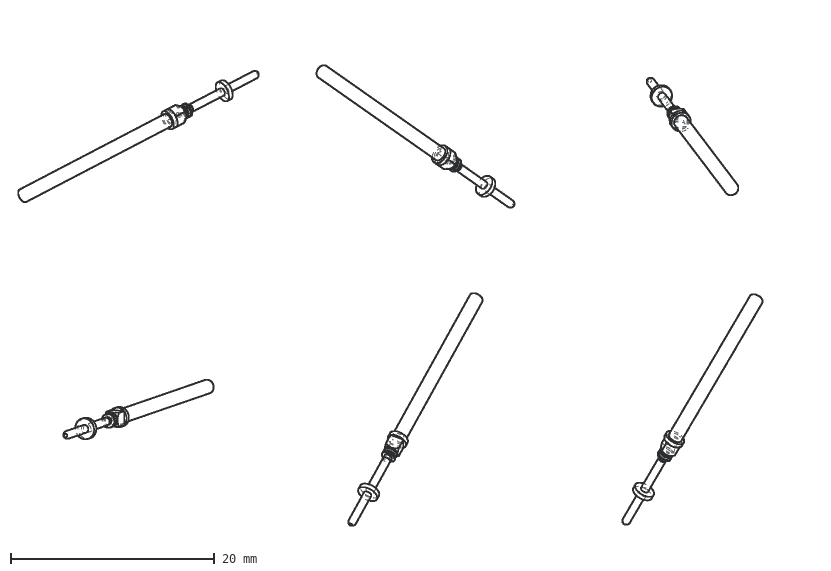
import cadquery as cq

LENGTH = 29.9

ROD_DIAMETER = 0.8
TIP_LENGTH = 0.4
TIP_FLAT_DIAMETER = 0.35
COLLAR_DIAMETER = 2.1
COLLAR_DEPTH = 4.0
COLLAR_THICKNESS = 0.48

NECK_DEPTH = 8.5
NECK_DIAMETER = 0.78

BARREL_DIAMETER = 1.4
BARREL_END_FILLET = 0.18

HEAD_DEPTH = 8.88
GROOVE_DEPTH = 9.05
GROOVE_WIDTH = 0.35
GROOVE_BOTTOM_DIAMETER = 1.2

FLANGE_DIAMETER = 1.97
FLANGE_DEPTH = 10.95
FLANGE_THICKNESS = 0.48
SQUARE_SIDE = BARREL_DIAMETER
CONE_DEPTH = 9.6
CONE_LENGTH = 0.27


def cylinder(depth, length, diameter):
    """Cylinder on the pin axis, running from the given depth away from the tip."""
    plane = cq.Plane(origin=(0, LENGTH / 2 - depth, 0), xDir=(1, 0, 0), normal=(0, -1, 0))
    return cq.Workplane(plane).circle(diameter / 2).extrude(length)


def make_rod():
    tip = LENGTH / 2
    rod = (
        cq.Workplane("XY")
        .moveTo(0, tip - NECK_DEPTH)
        .lineTo(ROD_DIAMETER / 2, tip - NECK_DEPTH)
        .lineTo(ROD_DIAMETER / 2, tip - TIP_LENGTH)
        .tangentArcPoint((TIP_FLAT_DIAMETER / 2, tip), relative=False)
        .lineTo(0, tip)
        .close()
        .revolve(360, (0, 0, 0), (0, 1, 0))
    )
    collar = cylinder(COLLAR_DEPTH, COLLAR_THICKNESS, COLLAR_DIAMETER)
    neck = cylinder(NECK_DEPTH, HEAD_DEPTH - NECK_DEPTH, NECK_DIAMETER)
    return rod.union(collar).union(neck)


def make_barrel():
    barrel = cylinder(HEAD_DEPTH, LENGTH - HEAD_DEPTH, BARREL_DIAMETER)
    barrel = barrel.faces("<Y").edges().fillet(BARREL_END_FILLET)
    flange = cylinder(FLANGE_DEPTH, FLANGE_THICKNESS, FLANGE_DIAMETER)
    return barrel.cut(make_groove()).union(make_square()).union(flange)


def make_groove():
    """Ring with a V section that opens outwards at the head surface."""
    front = LENGTH / 2 - GROOVE_DEPTH
    section = [
        (BARREL_DIAMETER / 2, front),
        (GROOVE_BOTTOM_DIAMETER / 2, front - GROOVE_WIDTH / 2),
        (BARREL_DIAMETER / 2, front - GROOVE_WIDTH),
    ]
    return cq.Workplane("XY").polyline(section).close().revolve(360, (0, 0, 0), (0, 1, 0))


def make_square():
    """Square bar limited to the flange diameter, its front corners turned to a cone."""
    length = FLANGE_DEPTH - CONE_DEPTH
    centre = LENGTH / 2 - CONE_DEPTH - length / 2
    bar = cq.Workplane("XY").box(SQUARE_SIDE, length, SQUARE_SIDE).translate((0, centre, 0))
    cone_height = (FLANGE_DIAMETER - BARREL_DIAMETER) / 2
    envelope = cylinder(CONE_DEPTH, length, FLANGE_DIAMETER)
    envelope = envelope.faces(">Y").edges().chamfer(CONE_LENGTH, cone_height)
    return bar.intersect(envelope)


result = make_rod().union(make_barrel())